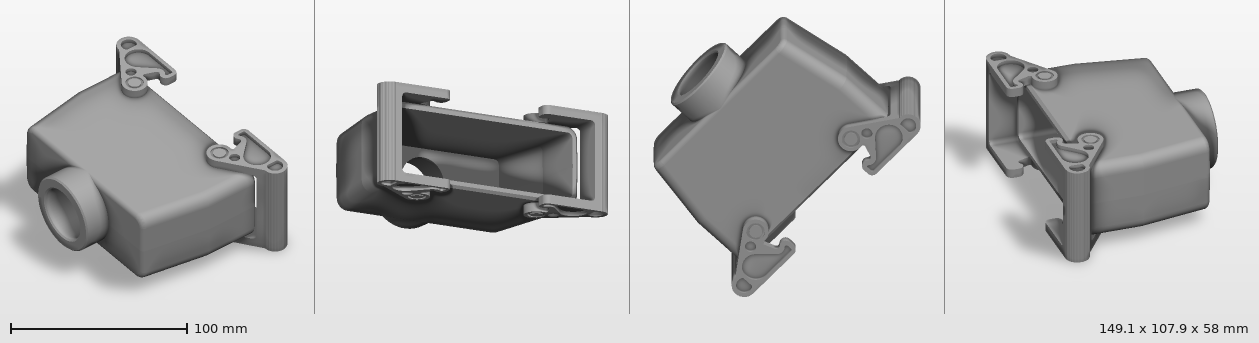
import cadquery as cq
import math


HOOD_HALF_WIDTH = 61.5
HOOD_TOE_HALF_WIDTH = 54.1
HOOD_LENGTH = 76.9
HOOD_SHOULDER = 34.0
HOOD_HALF_HEIGHT = 23.2
SIDE_RADIUS = 7.0
TOE_RADIUS = 3.0
RIM_CHAMFER = 1.6
DRAFT = 1.0
WALL = 4.0
TOE_WALL = 5.6

COLLAR_END = 92.3
COLLAR_RADIUS = 23.05
COLLAR_CHAMFER = 0.9
SOCKET_RADIUS = 15.9
SOCKET_FLOOR = 74.5
CABLE_HOLE_RADIUS = 14.05

OVERALL_WIDTH = 149.1
LEVER_HALF_HEIGHT = 29.0
LEVER_TOP = 15.6
GRIP_RADIUS = 7.15
GRIP_X = GRIP_RADIUS - OVERALL_WIDTH / 2
GRIP_Y = LEVER_TOP - GRIP_RADIUS
PIVOT_X = -39.15
PIVOT_Y = -9.45
PIVOT_BOSS_RADIUS = 7.4
HOOK_END = -30.5
HOOK_RADIUS = 3.4
HOOK_TIP_Y = 5.5
NOTCH_X = -37.5
NOTCH_Y = 5.1
NOTCH_RADIUS = 1.8
NOTCH_START = 160
NOTCH_END = 70
HOOK_TIP_ANGLE = 180 + NOTCH_END
THROAT_X = -41.6
THROAT_RADIUS = 1.2
WINDOW_HALF_WIDTH = 63.2
WINDOW_HALF_HEIGHT = 23.65
WINDOW_RADIUS = 2.7

RIDGE_COUNT = 25
RIDGE_HEIGHT = 0.15

RIM_WIDTH = 2.3
NOTCH_RIM_WIDTH = 3.1
POCKET_DEPTH = 2.5
POCKET_X = -54.7
POCKET_RADIUS = 7.85
POCKET_SLOPE = 45
GRIP_POCKET_RADIUS = 4.6
GRIP_POCKET_FLAT = -64.5
GRIP_POCKET_CORNER = 1.0
ROUND_POCKET_X = -47.8
ROUND_POCKET_Y = -5.3
ROUND_POCKET_RADIUS = 3.15
PIN_RADIUS = 3.7
PIN_OVERLAP = 1.0
PIN_RECESS_RADIUS = 5.2
PIN_RECESS_DEPTH = 1.0


def polar(center, radius, degrees):
    angle = math.radians(degrees)
    return (center[0] + radius * math.cos(angle), center[1] + radius * math.sin(angle))


def add_arc(outline, center, radius, start, end):
    """Continue an outline with a line to an arc and then the arc, angles in degrees."""
    outline = outline.lineTo(*polar(center, radius, start))
    middle = polar(center, radius, (start + end) / 2)
    return outline.threePointArc(middle, polar(center, radius, end))


def hood_half(inset, toe_inset):
    """Upper half of the hood envelope, moved inward by inset, or by toe_inset at the collar end."""
    half_width = HOOD_HALF_WIDTH - inset
    toe_half_width = HOOD_TOE_HALF_WIDTH - inset
    half_height = HOOD_HALF_HEIGHT - inset
    toe = -HOOD_LENGTH + toe_inset
    draft_margin = half_height
    outline = [
        (-half_width, draft_margin),
        (half_width, draft_margin),
        (half_width, -HOOD_SHOULDER),
        (toe_half_width, toe),
        (-toe_half_width, toe),
        (-half_width, -HOOD_SHOULDER),
    ]
    half = cq.Workplane("XY").polyline(outline).close().extrude(half_height, taper=DRAFT)
    half = half.faces(">Z").edges("not |X").fillet(SIDE_RADIUS - inset)
    surplus = cq.Workplane("XY").box(3 * half_width, 2 * draft_margin, 3 * half_height)
    return half.cut(surplus.translate((0, draft_margin, 0)))


def hood_solid():
    half = hood_half(0, 0).faces("<Y").edges("not <Z").fillet(TOE_RADIUS)
    half = half.faces(">Y").edges("not <Z").chamfer(RIM_CHAMFER)
    return half.union(half.mirror("XY"))


def hood_cavity():
    half = hood_half(WALL, TOE_WALL)
    return half.union(half.mirror("XY"))


def y_cylinder(radius, start, end):
    """Cylinder about the Y axis, from start to end millimetres behind the rim."""
    return cq.Workplane("XZ").workplane(offset=start).circle(radius).extrude(end - start)


def cable_collar():
    collar = y_cylinder(COLLAR_RADIUS, HOOD_LENGTH - WALL, COLLAR_END)
    return collar.faces("<Y").edges().chamfer(COLLAR_CHAMFER)


def cable_passage():
    """Stepped bore of the collar with a chamfered mouth."""
    mouth = cq.Workplane("XZ").workplane(offset=COLLAR_END - COLLAR_CHAMFER).circle(SOCKET_RADIUS)
    mouth = mouth.workplane(offset=COLLAR_CHAMFER).circle(SOCKET_RADIUS + COLLAR_CHAMFER).loft()
    socket = y_cylinder(SOCKET_RADIUS, SOCKET_FLOOR, COLLAR_END)
    return y_cylinder(CABLE_HOLE_RADIUS, 0, COLLAR_END).union(socket).union(mouth)


def make_hood():
    return hood_solid().union(cable_collar()).cut(hood_cavity()).cut(cable_passage())


def lever_outline():
    """Closed outline of the left lever in plan."""
    grip = (GRIP_X, GRIP_Y)
    pivot = (PIVOT_X, PIVOT_Y)
    notch = (NOTCH_X, NOTCH_Y)
    hook_x = HOOK_END - HOOK_RADIUS
    valley_radius = GRIP_RADIUS - RIDGE_HEIGHT

    outline = cq.Workplane("XY").moveTo(*polar(grip, valley_radius, 90))
    pitch = 180 / RIDGE_COUNT
    for ridge in range(RIDGE_COUNT):
        valley_angle = 90 + ridge * pitch
        crest = polar(grip, GRIP_RADIUS, valley_angle + pitch / 2)
        outline = outline.threePointArc(crest, polar(grip, valley_radius, valley_angle + pitch))

    run = PIVOT_X - GRIP_X
    drop = PIVOT_Y - (GRIP_Y - valley_radius)
    distance = math.hypot(run, drop)
    slope = math.degrees(math.atan2(drop, run) - math.asin(PIVOT_BOSS_RADIUS / distance))
    outline = add_arc(outline, pivot, PIVOT_BOSS_RADIUS, slope - 90, 90)

    throat = (THROAT_X + THROAT_RADIUS, PIVOT_Y + PIVOT_BOSS_RADIUS + THROAT_RADIUS)
    outline = add_arc(outline, throat, THROAT_RADIUS, 270, 180)
    outline = add_arc(outline, notch, NOTCH_RADIUS, NOTCH_START, NOTCH_END)
    outline = add_arc(outline, (hook_x, HOOK_TIP_Y + HOOK_RADIUS), HOOK_RADIUS, HOOK_TIP_ANGLE, 360)
    outline = add_arc(outline, (hook_x, LEVER_TOP - HOOK_RADIUS), HOOK_RADIUS, 0, 90)
    return outline.lineTo(GRIP_X, LEVER_TOP).close()


def large_pocket():
    """Drop-shaped pocket that follows the lever top and the hook at the rim width."""
    top = LEVER_TOP - RIM_WIDTH
    round_end = (POCKET_X, top - POCKET_RADIUS)
    notch = (NOTCH_X, NOTCH_Y)
    bend_radius = NOTCH_RADIUS + NOTCH_RIM_WIDTH
    tip_radius = HOOK_RADIUS - RIM_WIDTH
    hook_x = HOOK_END - HOOK_RADIUS
    tip_y = HOOK_TIP_Y + NOTCH_RIM_WIDTH + tip_radius

    outline = cq.Workplane("XY").moveTo(hook_x, top)
    outline = add_arc(outline, round_end, POCKET_RADIUS, 90, 270 + POCKET_SLOPE)
    outline = add_arc(outline, notch, bend_radius, 90 + POCKET_SLOPE, NOTCH_END)
    outline = add_arc(outline, (hook_x, tip_y), tip_radius, HOOK_TIP_ANGLE, 360)
    outline = add_arc(outline, (hook_x, top - tip_radius), tip_radius, 0, 90)
    return outline.close().extrude(POCKET_DEPTH)


def grip_pocket():
    """Round pocket inside the grip, cut flat on the hood side."""
    disc = cq.Workplane("XY").center(GRIP_X, GRIP_Y).circle(GRIP_POCKET_RADIUS).extrude(POCKET_DEPTH)
    left = GRIP_X - GRIP_POCKET_RADIUS
    center_x = (left + GRIP_POCKET_FLAT) / 2
    kept = cq.Workplane("XY").center(center_x, GRIP_Y)
    kept = kept.rect(GRIP_POCKET_FLAT - left, 2 * GRIP_POCKET_RADIUS).extrude(POCKET_DEPTH)
    return disc.intersect(kept).edges("|Z").edges(">X").fillet(GRIP_POCKET_CORNER)


def round_pocket():
    pocket = cq.Workplane("XY").center(ROUND_POCKET_X, ROUND_POCKET_Y)
    return pocket.circle(ROUND_POCKET_RADIUS).extrude(POCKET_DEPTH)


def pin_recess():
    """Ring-shaped recess around the pivot pin."""
    ring = cq.Workplane("XY").center(PIVOT_X, PIVOT_Y).circle(PIN_RECESS_RADIUS).circle(PIN_RADIUS)
    return ring.extrude(PIN_RECESS_DEPTH)


def lever_window():
    """Opening between the two lever arms, longer in Y than the lever."""
    window = cq.Workplane("XY").box(2 * WINDOW_HALF_WIDTH, OVERALL_WIDTH, 2 * WINDOW_HALF_HEIGHT)
    return window.edges("|Y").fillet(WINDOW_RADIUS)


def pivot_pins():
    """Pins that tie the upper and lower lever arms to the hood."""
    base = HOOD_HALF_HEIGHT - PIN_OVERLAP
    pin = cq.Workplane("XY").workplane(offset=base).center(PIVOT_X, PIVOT_Y).circle(PIN_RADIUS)
    pin = pin.extrude(WINDOW_HALF_HEIGHT + PIN_OVERLAP - base)
    return pin.union(pin.mirror("XY"))


def make_lever():
    lever = lever_outline().extrude(LEVER_HALF_HEIGHT, both=True).cut(lever_window())
    recesses = [
        (large_pocket(), POCKET_DEPTH),
        (grip_pocket(), POCKET_DEPTH),
        (round_pocket(), POCKET_DEPTH),
        (pin_recess(), PIN_RECESS_DEPTH),
    ]
    for recess, depth in recesses:
        upper = recess.translate((0, 0, LEVER_HALF_HEIGHT - depth))
        lever = lever.cut(upper).cut(upper.mirror("XY"))
    return lever.union(pivot_pins())


left_lever = make_lever()
result = make_hood().union(left_lever).union(left_lever.mirror("YZ"))